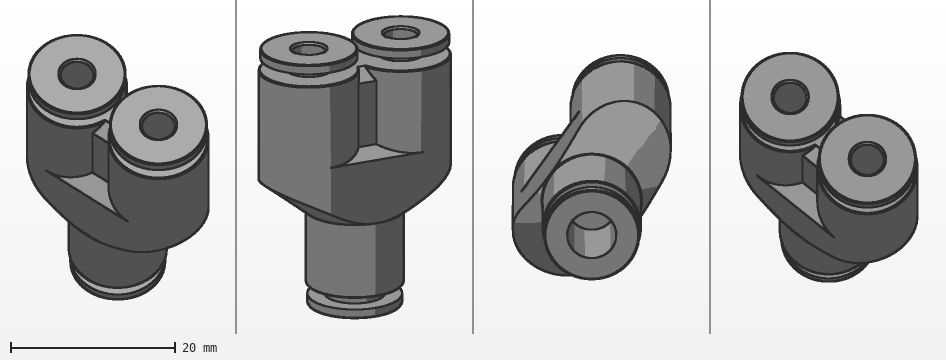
import cadquery as cq


total_height = 34.0
stem_bottom = 2.72
stem_top = 12.27
shoulder_top = 17.25
body_top = 31.28

body_length = 24.75
body_width = 12.25
barrel_radius = body_width / 2
branch_offset = (body_length - body_width) / 2
stem_diameter = 12.0
rim_chamfer = 0.15

web_half = 3.47
web_top_half = 1.87
web_bevel_bottom = 29.7
ledge_inner = 21.5
ledge_outer = 20.5

flange_thickness = 1.2
branch_flange_diameter = 11.85
branch_neck_diameter = 5.4
stem_flange_diameter = 11.6
stem_neck_diameter = 7.3

branch_bore = 4.0
branch_stop_bore = 3.5
stem_bore = 6.0
bore_chamfer = 0.27
bore_depth = 10.2
stop_depth = 1.7


def cylinder(diameter, bottom, top, x=0.0):
    """Vertical cylinder between two heights."""
    return cq.Workplane("XY", origin=(x, 0, bottom)).circle(diameter / 2).extrude(top - bottom)


def make_body():
    """Branch barrels and central block, trimmed below by a conical shoulder."""
    half_section = [
        (barrel_radius, stem_top),
        (barrel_radius, ledge_outer),
        (web_half, ledge_inner),
        (web_half, web_bevel_bottom),
        (web_top_half, body_top),
    ]
    mirrored = [(-y, z) for y, z in reversed(half_section)]
    body = (
        cq.Workplane("YZ")
        .polyline(half_section + mirrored)
        .close()
        .extrude(branch_offset, both=True)
    )
    for side in (-1, 1):
        barrel = cylinder(body_width, stem_top, body_top, side * branch_offset)
        body = body.union(barrel.faces(">Z").chamfer(rim_chamfer))

    envelope = (
        cq.Workplane("XZ")
        .moveTo(0, stem_top)
        .lineTo(barrel_radius, stem_top)
        .lineTo(body_length / 2, shoulder_top)
        .lineTo(body_length / 2, body_top)
        .lineTo(0, body_top)
        .close()
        .revolve(360, (0, 0, 0), (0, 1, 0))
    )
    return body.intersect(envelope)


def make_stem():
    """Lower barrel with its release collar."""
    barrel = cylinder(stem_diameter, stem_bottom, stem_top).faces("<Z").chamfer(rim_chamfer)
    neck = cylinder(stem_neck_diameter, 0, stem_bottom)
    flange = cylinder(stem_flange_diameter, 0, flange_thickness).faces("<Z").chamfer(rim_chamfer)
    return barrel.union(neck).union(flange)


def make_branch_collar(x):
    """Release collar on top of one branch barrel."""
    neck = cylinder(branch_neck_diameter, body_top, total_height, x)
    flange = cylinder(branch_flange_diameter, total_height - flange_thickness, total_height, x)
    return neck.union(flange.faces(">Z").chamfer(rim_chamfer))


def make_branch_socket(x):
    """Blind stepped bore with a countersunk mouth."""
    bore_floor = total_height - bore_depth
    bore = cylinder(branch_bore, bore_floor, total_height, x)
    stop = cylinder(branch_stop_bore, bore_floor - stop_depth, bore_floor, x)
    mouth = (
        cq.Workplane("XY", origin=(x, 0, total_height))
        .circle(branch_bore / 2 + bore_chamfer)
        .workplane(offset=-bore_chamfer)
        .circle(branch_bore / 2)
        .loft()
    )
    return bore.union(stop).union(mouth)


result = make_body().union(make_stem())
for side in (-1, 1):
    result = result.union(make_branch_collar(side * branch_offset))
    result = result.cut(make_branch_socket(side * branch_offset))
result = result.cut(cylinder(stem_bore, 0, bore_depth))